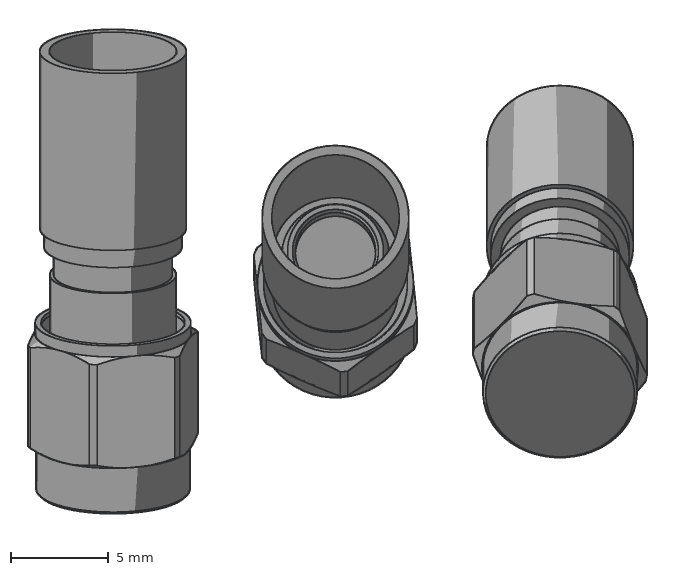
import cadquery as cq
import math

total_height = 23.65
sleeve_base_z = 14.15
shoulder_base_z = 13.15
neck_base_z = 11.65
collar_top_z = 9.08
hex_top_z = 8.5
hex_base_z = 2.5
recess_straight_depth = 0.21
recess_cone_depth = 1.09
recess_floor_z = collar_top_z - recess_straight_depth - recess_cone_depth
spigot_height = 1.9
spigot_bore_depth = 0.95

sleeve_radius = 3.75
shoulder_radius = 3.55
neck_radius = 3.05
body_radius = 3.25
sleeve_bore_radius = 3.26
collar_bore_radius = 3.7
nose_radius = 3.95
spigot_radius = 2.77
spigot_bore_radius = 2.05

nose_chamfer = 0.15
spigot_bore_chamfer = 0.15
spigot_taper_width = 0.3
spigot_taper_height = 1.18

hex_sides = 6
across_flats = 8.0
across_corners = 9.0
hex_chamfer_angle = 30.0
collar_radius = across_flats / 2
hex_end_ledge = 0.012
hex_end_radius = collar_radius + hex_end_ledge


def disc(radius, base_z, top_z):
    return cq.Workplane("XY").workplane(offset=base_z).circle(radius).extrude(top_z - base_z)


def hex_nut():
    """Hexagon with turned corners and conical chamfers at both ends, two flats facing -X and +X."""
    half_side_angle = 180 / hex_sides
    sharp_corner_diameter = across_flats / math.cos(math.radians(half_side_angle))
    corner_radius = across_corners / 2
    chamfer_drop = (corner_radius - hex_end_radius) * math.tan(math.radians(hex_chamfer_angle))
    prism = (
        cq.Workplane("XY")
        .workplane(offset=hex_base_z)
        .polygon(hex_sides, sharp_corner_diameter)
        .extrude(hex_top_z - hex_base_z)
        .rotate((0, 0, 0), (0, 0, 1), half_side_angle)
    )
    envelope = (
        cq.Workplane("XZ")
        .moveTo(0, hex_base_z)
        .lineTo(hex_end_radius, hex_base_z)
        .lineTo(corner_radius, hex_base_z + chamfer_drop)
        .lineTo(corner_radius, hex_top_z - chamfer_drop)
        .lineTo(hex_end_radius, hex_top_z)
        .lineTo(0, hex_top_z)
        .close()
        .revolve(360, (0, 0, 0), (0, 1, 0))
    )
    return prism.intersect(envelope)


def collar_recess():
    """Pocket in the rear of the nut, narrowing with a steep cone down to the body radius."""
    return (
        cq.Workplane("XZ")
        .moveTo(0, collar_top_z)
        .lineTo(collar_bore_radius, collar_top_z)
        .lineTo(collar_bore_radius, collar_top_z - recess_straight_depth)
        .lineTo(body_radius, recess_floor_z)
        .lineTo(0, recess_floor_z)
        .close()
        .revolve(360, (0, 0, 0), (0, 1, 0))
    )


def coupling_nut():
    """Round nose, hexagon and rear collar, open at the rear around the body."""
    nose = disc(nose_radius, 0, hex_base_z).faces("<Z").chamfer(nose_chamfer)
    collar = disc(collar_radius, hex_top_z, collar_top_z)
    return nose.union(hex_nut()).union(collar).cut(collar_recess())


def body():
    """Round body standing on the floor of the nut recess, with the narrower neck above it."""
    barrel = disc(body_radius, recess_floor_z, neck_base_z)
    neck = disc(neck_radius, neck_base_z, shoulder_base_z)
    return barrel.union(neck)


def sleeve():
    """Crimp sleeve, open at the top, on a slightly narrower shoulder."""
    shoulder = disc(shoulder_radius, shoulder_base_z, sleeve_base_z)
    tube = disc(sleeve_radius, sleeve_base_z, total_height)
    bore = disc(sleeve_bore_radius, sleeve_base_z, total_height)
    return shoulder.union(tube.cut(bore))


def spigot():
    """Post inside the sleeve with a steep tapered tip and a blind, countersunk bore."""
    top_z = sleeve_base_z + spigot_height
    post = disc(spigot_radius, sleeve_base_z, top_z)
    post = post.faces(">Z").chamfer(spigot_taper_height, spigot_taper_width)
    bore = disc(spigot_bore_radius, top_z - spigot_bore_depth, top_z)
    bore_mouth = cq.selectors.RadiusNthSelector(0)
    return post.cut(bore).faces(">Z").edges(bore_mouth).chamfer(spigot_bore_chamfer)


result = coupling_nut().union(body()).union(sleeve()).union(spigot())